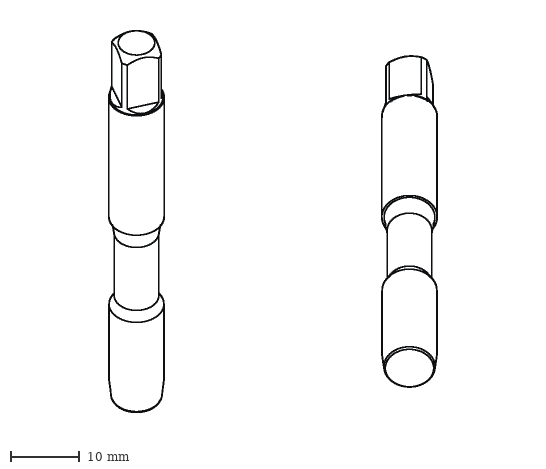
import cadquery as cq
import math

total_length = 69.1

cutter_diameter = 8.0
tip_diameter = 7.05
lead_start_diameter = 7.45
tip_chamfer_height = 0.35
lead_top = 3.25
cutter_shoulder = 18.05
cutter_cone_top = 19.3
cutter_cone_top_diameter = 6.7
cutter_top = 19.7

neck_diameter = 6.5
neck_top = 32.0
taper_bottom = 32.2
taper_bottom_diameter = 6.6
taper_top_diameter = 7.4
shank_diameter = 8.1
shank_bottom = 35.1
shank_top = 58.45

drive_diameter = 7.75
drive_width = 6.1
drive_flat_bottom = 59.4
drive_run_out_angle = 43
drive_chamfer_height = 1.1
drive_top_diameter = 5.3


def turned(profile):
    """Revolve (diameter, height) steps about the Z axis into a solid."""
    outline = [(0, profile[0][1])]
    outline += [(diameter / 2, height) for diameter, height in profile]
    outline.append((0, profile[-1][1]))
    return cq.Workplane("XZ").polyline(outline).close().revolve(360, (0, 0), (0, 1))


def make_cutter():
    """Threaded end as a plain cylinder, with a tapered lead and a conical shoulder."""
    return turned([
        (tip_diameter, 0),
        (lead_start_diameter, tip_chamfer_height),
        (cutter_diameter, lead_top),
        (cutter_diameter, cutter_shoulder),
        (cutter_cone_top_diameter, cutter_cone_top),
        (neck_diameter, cutter_top),
    ])


def drive_flat_cut():
    """Material outside one drive flat (+X side), with a sloped run-out below it."""
    flat = drive_width / 2
    outer = shank_diameter
    run_out = (outer - flat) * math.tan(math.radians(drive_run_out_angle))
    return (
        cq.Workplane("XZ")
        .polyline([
            (flat, total_length),
            (flat, drive_flat_bottom),
            (outer, drive_flat_bottom - run_out),
            (outer, total_length),
        ])
        .close()
        .extrude(shank_diameter, both=True)
    )


def make_shank():
    """Neck, taper and shank turned in one piece, with four flats cut for the drive."""
    shank = turned([
        (neck_diameter, cutter_top),
        (neck_diameter, neck_top),
        (taper_bottom_diameter, taper_bottom),
        (taper_top_diameter, shank_bottom),
        (shank_diameter, shank_bottom),
        (shank_diameter, shank_top),
        (drive_diameter, shank_top),
        (drive_diameter, total_length - drive_chamfer_height),
        (drive_top_diameter, total_length),
    ])
    flat_cut = drive_flat_cut()
    for angle in (0, 90, 180, 270):
        shank = shank.cut(flat_cut.rotate((0, 0, 0), (0, 0, 1), angle))
    return shank


cutter = make_cutter()
shank = make_shank()

result = cq.Compound.makeCompound([cutter.val(), shank.val()])